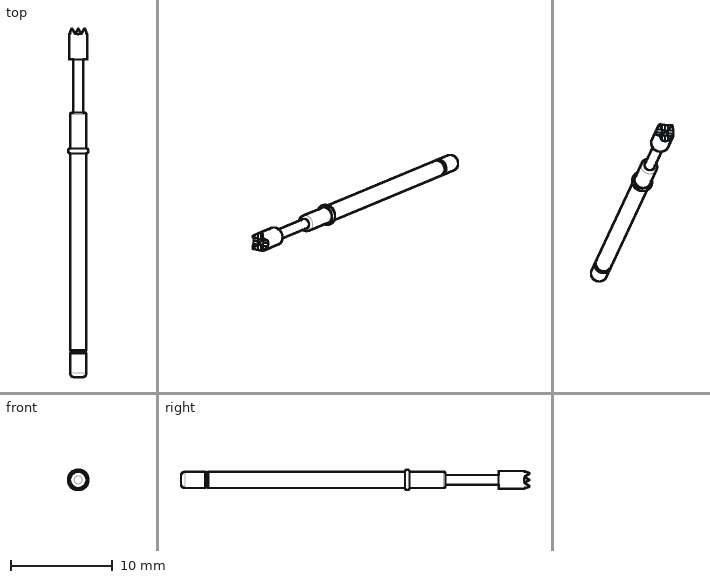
import cadquery as cq

length = 34.3
tip_y = length / 2
tail_y = -length / 2

head_diameter = 1.8
head_length = 3.05
stem_diameter = 1.0
stem_length = 5.2

tooth_spacing = 1.25
notch_floor_width = 0.62
notch_side_depth = 0.48
notch_centre_depth = 0.6
centre_point_width = 0.62

barrel_diameter = 1.6
mouth_fillet = 0.2
tail_fillet = 0.4

ring_diameter = 2.02
ring_width = 0.48
ring_flank_height = 0.05
ring_setback = 3.55

groove_to_tail = 2.55
groove_depth = 0.1
groove_half_width = 0.17

head_radius = head_diameter / 2
barrel_radius = barrel_diameter / 2
notch_floor_y = tip_y - notch_centre_depth
head_base_y = tip_y - head_length
mouth_y = head_base_y - stem_length
ring_y = mouth_y - ring_setback - ring_width
groove_y = tail_y + groove_to_tail


def rod(diameter, start_y, rod_length):
    """Solid cylinder on the Y axis, growing from start_y toward +Y."""
    plane = cq.Workplane("XZ", origin=(0, start_y, 0))
    return plane.circle(diameter / 2).extrude(-rod_length)


def revolve_about_y(outline):
    """Full turn of a half outline about the Y axis."""
    return outline.revolve(360, (0, 0, 0), (0, 1, 0))


def notch():
    """Cutter along Z: steep sides down to a floor that dips slightly along its centre line."""
    half_mouth = tooth_spacing / 2
    half_floor = notch_floor_width / 2
    side_y = tip_y - notch_side_depth
    outline = [
        (-half_mouth, tip_y),
        (-half_floor, side_y),
        (0, notch_floor_y),
        (half_floor, side_y),
        (half_mouth, tip_y),
    ]
    return cq.Workplane("XY").polyline(outline).close().extrude(head_radius, both=True)


def centre_point():
    """Square pyramid on the crown floor, its apex level with the corner teeth."""
    half_width = centre_point_width / 2
    wedge = (
        cq.Workplane("XY")
        .polyline([(-half_width, notch_floor_y), (half_width, notch_floor_y), (0, tip_y)])
        .close()
        .extrude(half_width, both=True)
    )
    return wedge.intersect(wedge.rotate((0, 0, 0), (0, 1, 0), 90))


def plunger():
    """Stem and head, with two crossed notches leaving four corner teeth."""
    head = rod(head_diameter, head_base_y, head_length)
    for angle in (0, 90):
        head = head.cut(notch().rotate((0, 0, 0), (0, 1, 0), angle))
    stem = rod(stem_diameter, mouth_y, stem_length)
    return head.union(centre_point()).union(stem)


def groove():
    """Cutter for the V-shaped crimp running around the barrel."""
    outline = (
        cq.Workplane("XY")
        .moveTo(barrel_radius, groove_y - groove_half_width)
        .lineTo(barrel_radius - groove_depth, groove_y)
        .lineTo(barrel_radius, groove_y + groove_half_width)
        .close()
    )
    return revolve_about_y(outline)


def press_ring():
    """Ring with short square flanks and a rounded crown."""
    shoulder_radius = barrel_radius + ring_flank_height
    far_y = ring_y + ring_width
    outline = (
        cq.Workplane("XY")
        .moveTo(0, ring_y)
        .lineTo(shoulder_radius, ring_y)
        .threePointArc((ring_diameter / 2, ring_y + ring_width / 2), (shoulder_radius, far_y))
        .lineTo(0, far_y)
        .close()
    )
    return revolve_about_y(outline)


def barrel():
    """Rounded tube body with the crimp groove and the press ring."""
    body = rod(barrel_diameter, tail_y, mouth_y - tail_y)
    body = body.faces(">Y").edges().fillet(mouth_fillet)
    body = body.faces("<Y").edges().fillet(tail_fillet)
    return body.cut(groove()).union(press_ring())


result = barrel().union(plunger())